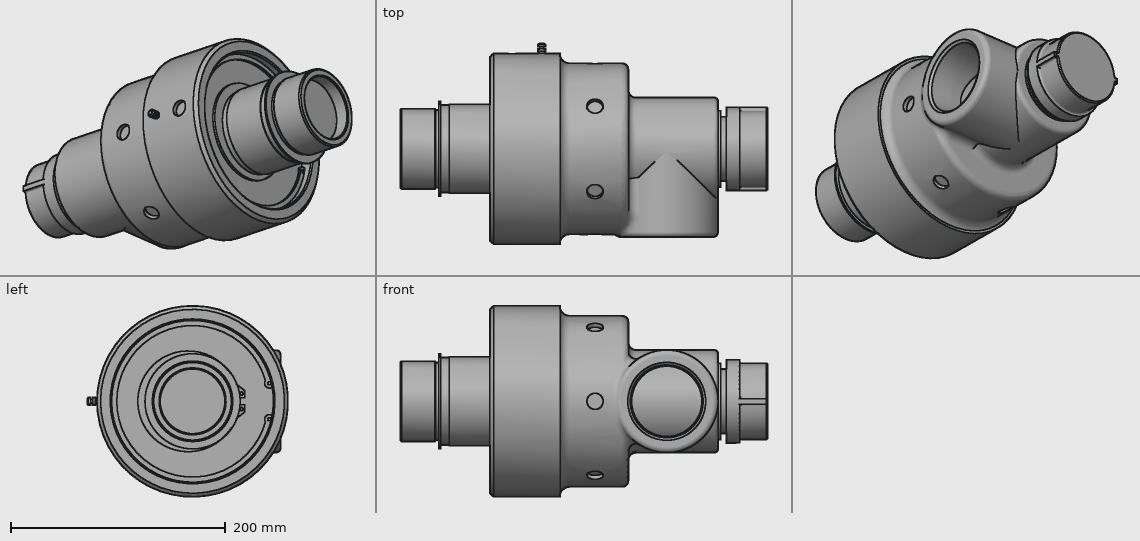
import cadquery as cq
import math


OVERLAP = 1.7
MARGIN = 0.5

SPIGOT_DIA = 75.0
SPIGOT_CHAMFER = 1.5
SPIGOT_END = 33.5
SPIGOT_BORE_DIA = 60.5
SPIGOT_BORE_DEPTH = 13.7
SPIGOT_BORE_CHAMFER = 1.0
GROOVE_DIA = 72.7
RING_START = 36.0
RING_END = 37.7
RING_DIA = 88.8
COLLAR_DIA = 82.0
COLLAR_END = 45.5
SHAFT_DIA = 83.3
SHAFT_END = 87.0
SHAFT_ROOT_DIA = 80.5

HOUSING_START = 83.5
HOUSING_DIA = 178.3
HOUSING_CHAMFER = 3.5
HOUSING_STEP = 149.0
STEP_SHOULDER = 2.7
STEP_FOOT = 158.0
BARREL_DIA = 159.8
BARREL_END = 213.0
BARREL_ROUND = 6.0

RECESS_DIA = 151.0
RECESS_DEPTH = 12.5
RECESS_CHAMFER = 1.5
CLIP_THICKNESS = 2.5
CLIP_SEAT = 1.7
BORE_CLIP_START = HOUSING_START + 8.0
BORE_CLIP_INNER_DIA = 141.2
BORE_CLIP_GAP_ANGLE = 26.0
BORE_CLIP_EAR_DIA = 9.0
BORE_CLIP_EAR_Y = 71.5
BORE_CLIP_EAR_Z = 16.8
SHAFT_CLIP_START = HOUSING_START + RECESS_DEPTH - CLIP_THICKNESS
SHAFT_CLIP_DIA = 94.0
SHAFT_CLIP_OFFSET = 4.0
SHAFT_CLIP_GAP = 7.0
SHAFT_CLIP_EAR_TIP = 10.0
SHAFT_CLIP_EAR_FOOT = 17.8
SHAFT_CLIP_HOLE_Y = 45.5
SHAFT_CLIP_HOLE_Z = 7.2
SHAFT_CLIP_EAR_REACH = 48.7
CLIP_HOLE_DIA = 3.0

NECK_DIA = 96.0
NECK_END = 296.5
NECK_ROUND = 4.0
WELD_RADIUS = 7.0
LIP_DIA = 71.3
LIP_END = 299.0
WAIST_DIA = 60.5
FLANGE_START = 304.0
FLANGE_END = 316.0
FLANGE_DIA = 77.8
TAIL_DIA = 71.3
TAIL_CHAMFER = 1.5
TOTAL_LENGTH = 342.8
KEY_WIDTH = 5.0
KEY_ROOT_RADIUS = 1.7

PORT_X = 248.5
PORT_DIA = 95.5
PORT_FACE = 82.3
PORT_ROUND = 4.8
PORT_MOUTH_DIA = 72.7
PORT_BORE_DIA = 68.0
PORT_INNER_DIA = 65.5
PORT_TAPER_DEPTH = 25.0
CORE_DIA = 90.5

SPANNER_HOLE_DIA = 15.0
SPANNER_HOLE_X = 181.7
SPANNER_HOLE_COUNT = 6
SPANNER_HOLE_DEPTH = 4.5

PLUG_HOLE_X = 104.2
PLUG_HOLE_DIA = SPANNER_HOLE_DIA
PLUG_HOLE_DEPTH = SPANNER_HOLE_DEPTH

NIPPLE_X = 132.0
NIPPLE_TOP = 98.5
NIPPLE_ROOT = HOUSING_DIA / 2 - OVERLAP
NIPPLE_STEM_DIA = 6.0
NIPPLE_COLLAR_START = 91.0
NIPPLE_COLLAR_DIA = 7.2
NIPPLE_WAIST_DIA = 4.0
NIPPLE_WAIST_START = 93.2
NIPPLE_HEAD_START = 95.0
NIPPLE_HEAD_END = 97.0


def disc(start, end, dia):
    """Solid cylinder on the X axis between two stations."""
    return cq.Workplane("YZ", origin=(start, 0, 0)).circle(dia / 2).extrude(end - start)


def countersink_x(dia, size, start=0):
    """45 degree cone that breaks the mouth of a bore opening toward -X."""
    return cq.Workplane("XY").add(
        cq.Solid.makeCone(dia / 2 + size, dia / 2, size, cq.Vector(start, 0, 0), cq.Vector(1, 0, 0))
    )


def left_shaft():
    spigot = disc(0, SPIGOT_END, SPIGOT_DIA).faces("<X or >X").chamfer(SPIGOT_CHAMFER)
    shaft = spigot.union(disc(SPIGOT_END - SPIGOT_CHAMFER, RING_START, GROOVE_DIA))
    shaft = shaft.union(disc(RING_START, RING_END, RING_DIA))
    shaft = shaft.union(disc(RING_END, COLLAR_END, COLLAR_DIA))
    shaft = shaft.union(disc(COLLAR_END, SHAFT_END, SHAFT_DIA))
    shaft = shaft.union(disc(SHAFT_END, HOUSING_STEP, SHAFT_ROOT_DIA))
    bore = disc(0, SPIGOT_BORE_DEPTH, SPIGOT_BORE_DIA).union(
        countersink_x(SPIGOT_BORE_DIA, SPIGOT_BORE_CHAMFER)
    )
    return shaft.cut(bore)


def housing():
    """Revolved drum, stepped down to the barrel through a cove that runs out tangent to it."""
    outer = HOUSING_DIA / 2
    barrel = BARREL_DIA / 2
    shoulder = outer - STEP_SHOULDER
    rise = shoulder - barrel
    run = STEP_FOOT - HOUSING_STEP
    cove_radius = (run ** 2 + rise ** 2) / (2 * rise)
    half_angle = math.asin(run / cove_radius) / 2
    cove_mid = (
        STEP_FOOT - cove_radius * math.sin(half_angle),
        barrel + cove_radius * (1 - math.cos(half_angle)),
    )
    return (
        cq.Workplane("XY")
        .moveTo(HOUSING_START, 0)
        .lineTo(HOUSING_START, outer - HOUSING_CHAMFER)
        .lineTo(HOUSING_START + HOUSING_CHAMFER, outer)
        .lineTo(HOUSING_STEP, outer)
        .lineTo(HOUSING_STEP, shoulder)
        .threePointArc(cove_mid, (STEP_FOOT, barrel))
        .lineTo(BARREL_END, barrel)
        .lineTo(BARREL_END, 0)
        .close()
        .revolve(360, (0, 0, 0), (1, 0, 0))
        .faces(">X").edges().fillet(BARREL_ROUND)
    )


def neck():
    return disc(BARREL_END - OVERLAP, NECK_END, NECK_DIA).faces(">X").edges().fillet(NECK_ROUND)


def port():
    return (
        cq.Workplane("XZ", origin=(PORT_X, 0, 0))
        .circle(PORT_DIA / 2)
        .extrude(PORT_FACE)
        .faces("<Y").edges().fillet(PORT_ROUND)
    )


def recess():
    """Round pocket in the housing's left face; the shaft stands in the middle of it."""
    pocket = disc(HOUSING_START, HOUSING_START + RECESS_DEPTH, RECESS_DIA)
    return pocket.union(countersink_x(RECESS_DIA, RECESS_CHAMFER, HOUSING_START))


def clip_plane(start):
    """Sketch plane across the axis: local x is +Y, local y is +Z."""
    return cq.Workplane("YZ", origin=(start, 0, 0))


def bore_clip():
    """Open retaining ring inside the recess, with a round drilled ear at each side of the gap."""
    outer = RECESS_DIA / 2
    half_gap = math.radians(BORE_CLIP_GAP_ANGLE / 2)
    far = 2 * outer
    gap = (
        clip_plane(BORE_CLIP_START)
        .polyline([(0, 0), (-far, far * math.tan(half_gap)), (-far, -far * math.tan(half_gap))])
        .close()
        .extrude(CLIP_THICKNESS)
    )
    ear_spots = [(-BORE_CLIP_EAR_Y, side * BORE_CLIP_EAR_Z) for side in (-1, 1)]
    ring = clip_plane(BORE_CLIP_START).circle(outer + CLIP_SEAT).circle(BORE_CLIP_INNER_DIA / 2)
    ears = clip_plane(BORE_CLIP_START).pushPoints(ear_spots).circle(BORE_CLIP_EAR_DIA / 2)
    holes = clip_plane(BORE_CLIP_START).pushPoints(ear_spots).circle(CLIP_HOLE_DIA / 2)
    return (
        ring.extrude(CLIP_THICKNESS)
        .cut(gap)
        .union(ears.extrude(CLIP_THICKNESS))
        .cut(holes.extrude(CLIP_THICKNESS))
    )


def shaft_clip():
    """Off-centre retaining ring on the shaft, with two drilled ears toward -Y."""
    half_gap = SHAFT_CLIP_GAP / 2
    clip = clip_plane(SHAFT_CLIP_START).center(SHAFT_CLIP_OFFSET, 0).circle(SHAFT_CLIP_DIA / 2)
    clip = clip.extrude(CLIP_THICKNESS)
    ear_root = SHAFT_ROOT_DIA / 2 - OVERLAP
    for side in (-1, 1):
        ear = (
            clip_plane(SHAFT_CLIP_START)
            .polyline([
                (-ear_root, side * half_gap),
                (-SHAFT_CLIP_EAR_REACH, side * half_gap),
                (-SHAFT_CLIP_EAR_REACH, side * SHAFT_CLIP_EAR_TIP),
                (-ear_root, side * SHAFT_CLIP_EAR_FOOT),
            ])
            .close()
            .extrude(CLIP_THICKNESS)
        )
        hole = (
            clip_plane(SHAFT_CLIP_START)
            .center(-SHAFT_CLIP_HOLE_Y, side * SHAFT_CLIP_HOLE_Z)
            .circle(CLIP_HOLE_DIA / 2)
            .extrude(CLIP_THICKNESS)
        )
        clip = clip.union(ear).cut(hole)
    gap = clip_plane(SHAFT_CLIP_START).center(-SHAFT_CLIP_DIA / 2, 0).rect(SHAFT_CLIP_DIA, SHAFT_CLIP_GAP)
    return clip.cut(gap.extrude(CLIP_THICKNESS))


def welded_body():
    """Housing, neck and port in one piece, with a fillet where the neck and port meet the barrel."""
    body = housing().union(neck()).union(port())
    reach = NECK_DIA / 2 + MARGIN
    joint = cq.selectors.BoxSelector(
        (PORT_X - reach, -PORT_FACE, -reach), (BARREL_END + MARGIN, reach, reach), boundingbox=True
    )
    return body.edges(joint).fillet(WELD_RADIUS)


def port_bore():
    """Mouth chamfer, tapered thread and straight bore, stopping at the round core inside the neck."""
    mouth = PORT_MOUTH_DIA / 2
    top = PORT_BORE_DIA / 2
    inner = PORT_INNER_DIA / 2
    bore = (
        cq.Workplane("XY")
        .polyline([
            (0, -PORT_FACE),
            (mouth, -PORT_FACE),
            (top, -PORT_FACE + mouth - top),
            (inner, -PORT_FACE + PORT_TAPER_DEPTH),
            (inner, 0),
            (0, 0),
        ])
        .close()
        .revolve(360, (0, 0, 0), (0, 1, 0))
        .translate((PORT_X, 0, 0))
    )
    return bore.cut(disc(BARREL_END, NECK_END, CORE_DIA))


def right_connection():
    """Stepped tail with a full-length key on the -Y and +Y sides."""
    shell = disc(FLANGE_END, TOTAL_LENGTH + MARGIN, FLANGE_DIA + 2 * MARGIN)
    shell = shell.cut(disc(FLANGE_END, TOTAL_LENGTH + MARGIN, TAIL_DIA))
    slab = cq.Workplane("XY", origin=(TOTAL_LENGTH, 0, 0)).box(
        2 * (TOTAL_LENGTH - FLANGE_END), 2 * FLANGE_DIA, KEY_WIDTH
    )
    reach = TAIL_DIA / 2 + MARGIN
    roots = cq.selectors.BoxSelector(
        (FLANGE_END - MARGIN, -reach, -reach), (TOTAL_LENGTH, reach, reach)
    )
    cutter = shell.cut(slab).edges(roots).edges("|X or %CIRCLE").fillet(KEY_ROOT_RADIUS)
    tail = disc(FLANGE_START, TOTAL_LENGTH, FLANGE_DIA).cut(cutter)
    tail = tail.faces(">X").edges().chamfer(TAIL_CHAMFER)
    lip = disc(NECK_END, LIP_END, LIP_DIA)
    waist = disc(LIP_END, FLANGE_START, WAIST_DIA)
    return lip.union(waist).union(tail)


def radial_hole(x, surface_dia, dia, depth):
    """Cutter for a flat-bottomed hole that enters a round surface from +Z."""
    return (
        cq.Workplane("XY", origin=(x, 0, surface_dia / 2 - depth))
        .circle(dia / 2)
        .extrude(depth + MARGIN)
    )


def spanner_holes():
    hole = radial_hole(SPANNER_HOLE_X, BARREL_DIA, SPANNER_HOLE_DIA, SPANNER_HOLE_DEPTH)
    holes = cq.Workplane("XY")
    for index in range(SPANNER_HOLE_COUNT):
        angle = 90 + index * 360 / SPANNER_HOLE_COUNT
        holes = holes.union(hole.rotate((0, 0, 0), (1, 0, 0), angle))
    return holes


def plug_hole():
    hole = radial_hole(PLUG_HOLE_X, HOUSING_DIA, PLUG_HOLE_DIA, PLUG_HOLE_DEPTH)
    return hole.rotate((0, 0, 0), (1, 0, 0), -90)


def nipple():
    """Grease nipple: a stem, a collar, a narrow waist and a tapered head."""
    return (
        cq.Workplane("XY")
        .polyline([
            (0, NIPPLE_ROOT),
            (NIPPLE_STEM_DIA / 2, NIPPLE_ROOT),
            (NIPPLE_STEM_DIA / 2, NIPPLE_COLLAR_START),
            (NIPPLE_COLLAR_DIA / 2, NIPPLE_COLLAR_START),
            (NIPPLE_COLLAR_DIA / 2, NIPPLE_WAIST_START),
            (NIPPLE_WAIST_DIA / 2, NIPPLE_WAIST_START),
            (NIPPLE_WAIST_DIA / 2, NIPPLE_HEAD_START),
            (NIPPLE_COLLAR_DIA / 2, NIPPLE_HEAD_START),
            (NIPPLE_COLLAR_DIA / 2, NIPPLE_HEAD_END),
            (NIPPLE_WAIST_DIA / 2, NIPPLE_TOP),
            (0, NIPPLE_TOP),
        ])
        .close()
        .revolve(360, (0, 0, 0), (0, 1, 0))
        .translate((NIPPLE_X, 0, 0))
    )


result = (
    welded_body()
    .cut(recess())
    .cut(spanner_holes())
    .cut(plug_hole())
    .cut(port_bore())
    .union(left_shaft())
    .union(bore_clip())
    .union(shaft_clip())
    .union(right_connection())
    .union(nipple())
)